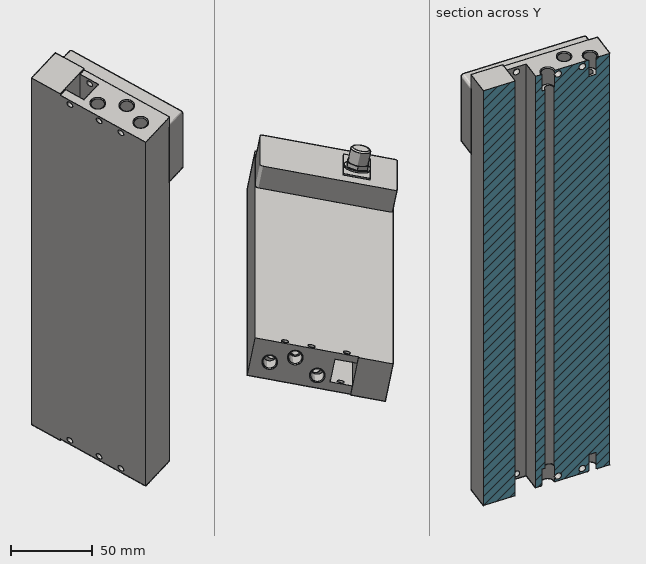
import cadquery as cq
import math

length = 328.0
width = 86.0
slab_depth = 25.0
strip_width = 21.5
end_step = 1.3

duct_width = 13.8
duct_depth = 15.0
duct_front_wall = 5.5

passages = [
    (44.0, 8.2, 45.0, 8.0),
    (59.5, 17.0, 59.5, 16.7),
    (74.0, 11.0, 73.0, 11.8),
]
mouth_diameter = 8.2
mouth_chamfer = 0.5
mouth_depth = 13.0
bore_diameter = 6.0

cross_hole_xs = (29.0, 51.0, 67.2)
cross_hole_diameter = 4.3
cross_hole_inset = 5.2

housing_side_inset = 0.3
housing_depth = 14.5
housing_height = 54.0
housing_top_gap = 10.5
housing_corner_radius = 2.0

connector_x = 25.5
connector_top_gap = 40.5
plate_width = 16.7
plate_height = 34.0
plate_top_gap = 20.5
plate_thickness = 1.0
washer_diameter = 16.5
washer_thickness = 1.0
hex_across_flats = 12.8
hex_half_angle = 30
hex_thickness = 2.5
barrel_diameter = 12.5
barrel_length = 9.5
barrel_chamfer = 1.0


def block(x, y, z, size_x, size_y, size_z):
    """Box whose lowest corner is at (x, y, z)."""
    return cq.Workplane("XY").box(size_x, size_y, size_z, centered=False).translate((x, y, z))


def rod_z(x, y, z, diameter, height):
    """Cylinder along +Z starting at (x, y, z)."""
    return cq.Workplane("XY", origin=(x, y, z)).circle(diameter / 2).extrude(height)


def mouth_cone(x, y):
    """Countersink at the lower end of a passage, narrowing upward to the mouth diameter."""
    lower_rim = cq.Workplane("XY", origin=(x, y, end_step)).circle(mouth_diameter / 2 + mouth_chamfer)
    upper_rim = lower_rim.workplane(offset=mouth_chamfer).circle(mouth_diameter / 2)
    return upper_rim.loft()


def rear_plane(y):
    """Sketch plane at depth y, centred on the connector axis; negative extrusions go toward +Y."""
    return cq.Workplane("XZ", origin=(connector_x, y, length - connector_top_gap))


def make_slab():
    strip = block(0, 0, 0, strip_width, slab_depth, length)
    main = block(0, 0, end_step, width, slab_depth, length - 2 * end_step)
    return strip.union(main)


def cut_passages(body):
    body = body.cut(block(strip_width, duct_front_wall, 0, duct_width, duct_depth, length))
    for mouth_x, mouth_y, bore_x, bore_y in passages:
        body = body.cut(rod_z(bore_x, bore_y, 0, bore_diameter, length))
        mouth = (
            rod_z(mouth_x, mouth_y, end_step, mouth_diameter, mouth_depth)
            .union(mouth_cone(mouth_x, mouth_y))
        )
        body = body.cut(mouth).cut(mouth.mirror("XY", (0, 0, length / 2)))
    return body


def cut_cross_holes(body):
    for z in (cross_hole_inset, length - cross_hole_inset):
        for x in cross_hole_xs:
            hole = cq.Workplane("XZ", origin=(x, 0, z)).circle(cross_hole_diameter / 2)
            body = body.cut(hole.extrude(-slab_depth))
    return body


def make_housing():
    bottom = length - housing_top_gap - housing_height
    housing = block(
        housing_side_inset,
        slab_depth,
        bottom,
        width - 2 * housing_side_inset,
        housing_depth,
        housing_height,
    )
    return housing.edges("|Y").fillet(housing_corner_radius)


def make_connector():
    plate_y = slab_depth + housing_depth
    washer_y = plate_y + plate_thickness
    hex_y = washer_y + washer_thickness
    hex_across_corners = hex_across_flats / math.cos(math.radians(hex_half_angle))
    barrel_y = hex_y + hex_thickness

    plate = block(
        connector_x - plate_width / 2,
        plate_y,
        length - plate_top_gap - plate_height,
        plate_width,
        plate_thickness,
        plate_height,
    )
    washer = rear_plane(washer_y).circle(washer_diameter / 2).extrude(-washer_thickness)
    hexagon = (
        rear_plane(hex_y)
        .transformed(rotate=(0, 0, hex_half_angle))
        .polygon(6, hex_across_corners)
        .extrude(-hex_thickness)
    )
    barrel = (
        rear_plane(barrel_y)
        .circle(barrel_diameter / 2)
        .extrude(-barrel_length)
        .faces(">Y")
        .chamfer(barrel_chamfer)
    )
    return plate.union(washer).union(hexagon).union(barrel)


slab = cut_cross_holes(cut_passages(make_slab()))
result = slab.union(make_housing()).union(make_connector())